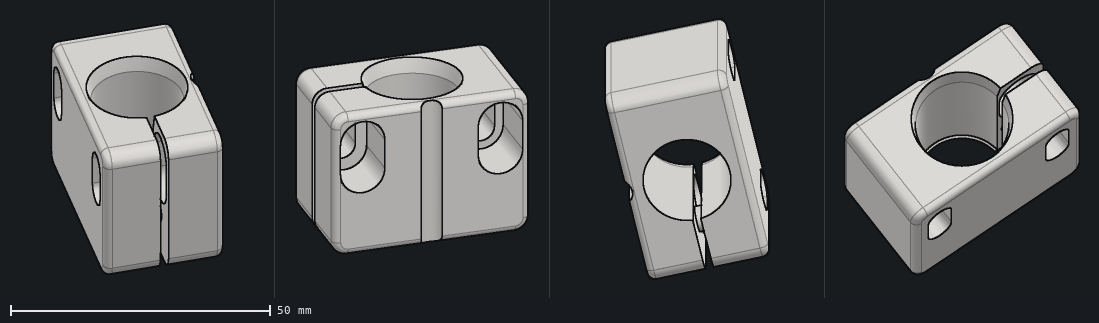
import cadquery as cq

length = 40.0
depth = 24.0
height = 30.0
corner_radius = 3.0
edge_radius = corner_radius / 2

bore_mouth_radius = 9.8
barrel_radius = 9.0
bore_bottom_radius = 8.5
lead_in_depth = 3.0
seat_height = barrel_radius - bore_bottom_radius

slit_width = 1.6
pin_diameter = 5.0
pin_x = 12.5
pin_z = -5.5

slot_x = 14.0
slot_z = 5.5
slot_width = 5.5
slot_height = 11.55
pocket_width = 9.0
pocket_height = slot_height + pocket_width - slot_width
pocket_depth = depth / 2

groove_diameter = 5.0
groove_depth = 1.2


def make_block():
    """Box with rounded X-Z outline and smaller fillets around front and rear."""
    block = cq.Workplane("XY").box(length, depth, height)
    block = block.edges("|Y").fillet(corner_radius)
    return block.faces("<Y or >Y").edges().fillet(edge_radius)


def make_bore():
    """Revolved cutter for the clamping bore."""
    top = height / 2
    profile = [
        (0, -top),
        (bore_bottom_radius, -top),
        (barrel_radius, seat_height - top),
        (barrel_radius, top - lead_in_depth),
        (bore_mouth_radius, top),
        (0, top),
    ]
    return cq.Workplane("XZ").polyline(profile).close().revolve(360, (0, 0), (0, 1))


def make_slit():
    """Cutter from the bore axis out through the +X side."""
    return cq.Workplane("XY").box(length / 2, slit_width, height, centered=(False, True, True))


def make_pin():
    """Pin along Y, filling only the slit."""
    plane = cq.Workplane("XZ").center(pin_x, pin_z)
    return plane.circle(pin_diameter / 2).extrude(slit_width / 2, both=True)


def make_upright_slots(slot_size, width, rear_depth):
    """Pair of upright slot cutters running forward from the rear face."""
    plane = cq.Workplane("XZ", origin=(0, depth / 2, 0))
    plane = plane.pushPoints([(-slot_x, slot_z), (slot_x, slot_z)])
    return plane.slot2D(slot_size, width, 90).extrude(rear_depth)


def make_groove():
    """Vertical cylinder cutting a shallow arc into the rear face."""
    radius = groove_diameter / 2
    axis_y = depth / 2 - groove_depth + radius
    return cq.Workplane("XY").center(0, axis_y).circle(radius).extrude(height / 2, both=True)


result = make_block().cut(make_bore()).cut(make_slit())
result = result.union(make_pin())
result = result.cut(make_upright_slots(slot_height, slot_width, depth))
result = result.cut(make_upright_slots(pocket_height, pocket_width, pocket_depth))
result = result.cut(make_groove())